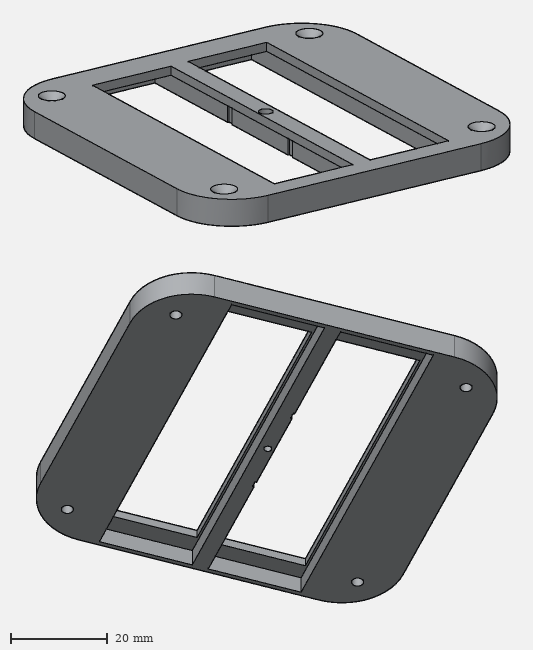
import cadquery as cq

side = 80.0
thickness = 6.0
corner_radius = 13.5

screw_spacing = 64.0
screw_diameter = 2.5
seat_diameter = 5.6
seat_angle = 90

center_hole_y = -0.2
center_hole_diameter = 1.6
center_bore_diameter = 3.0
center_bore_depth = 2.0

window_length = 67.5
window_width = 19.5
window_centers = [(1.1, 12.1), (1.4, -11.9)]
lip_thickness = 2.0
side_overhang = 0.5
opening_length = 78.0

groove_spacing = 22.5
groove_width = 1.5
groove_depth = 0.3

lower_height = thickness - lip_thickness
opening_width = window_width + 2 * side_overhang


def make_plate():
    plate = cq.Workplane("XY").rect(side, side).extrude(thickness)
    return plate.edges("|Z").fillet(corner_radius)


def cut_window(plate, center):
    through = cq.Workplane("XY").center(*center).rect(window_length, window_width).extrude(thickness)
    opening = cq.Workplane("XY").center(0, center[1]).rect(opening_length, opening_width).extrude(lower_height)
    return plate.cut(through).cut(opening)


def cut_grooves(plate):
    wall_y = window_centers[1][1] + opening_width / 2
    grooves = (
        cq.Workplane("XY")
        .center(0, wall_y)
        .rarray(groove_spacing, 0.8, 2, 1)
        .rect(groove_width, 2 * groove_depth)
        .extrude(lower_height)
    )
    return plate.cut(grooves)


def drill_holes(plate):
    plate = (
        plate.faces(">Z")
        .workplane(origin=(0, 0, thickness))
        .rarray(screw_spacing, screw_spacing, 2, 2)
        .cskHole(screw_diameter, seat_diameter, seat_angle)
    )
    return (
        plate.faces(">Z")
        .workplane(origin=(0, center_hole_y, thickness))
        .cboreHole(center_hole_diameter, center_bore_diameter, center_bore_depth)
    )


result = make_plate()
for window_center in window_centers:
    result = cut_window(result, window_center)
result = cut_grooves(result)
result = drill_holes(result)